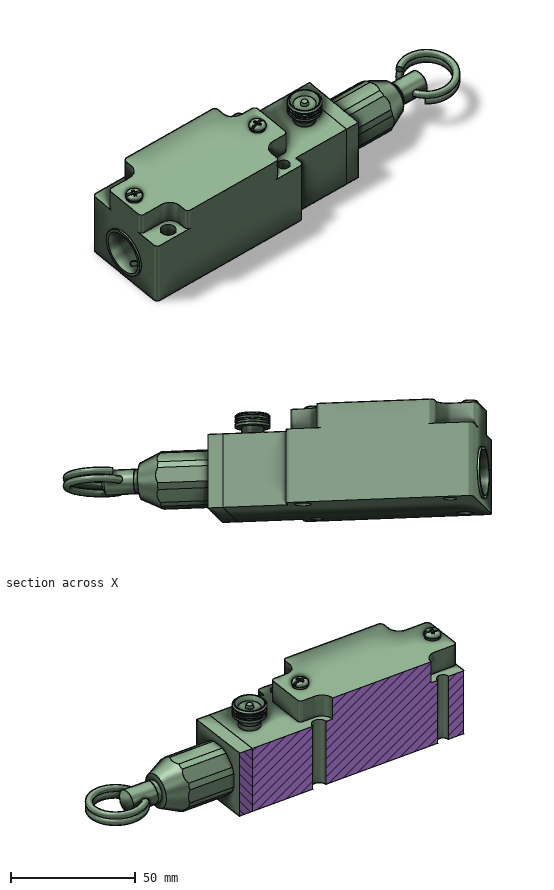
import cadquery as cq
import math

HOUSING_SIDE = 40.0
HOUSING_FRONT_Y = -85.0
HOUSING_BACK_Y = -8.5
CORNER_RADIUS = 1.7

POCKET_FLOOR_Z = 30.0
TONGUE_HALF_WIDTH = 10.1
POCKET_ARC_RADIUS = 5.1
BACK_POCKET_LENGTH = 12.5
FRONT_POCKET_LENGTH = 16.0
MOUNT_HOLE_X = 15.1
BACK_HOLE_Y = -14.8
FRONT_HOLE_Y = -74.8
SMALL_HOLE_DIAMETER = 5.1
LARGE_HOLE_DIAMETER = 6.4

ENTRY_Z = 13.2
ENTRY_COLLAR_DIAMETER = 21.0
ENTRY_COLLAR_HEIGHT = 0.9
ENTRY_BORE_DIAMETER = 18.5
ENTRY_BORE_DEPTH = 9.0
ENTRY_PIN_HOLE_DIAMETER = 3.3
ENTRY_PIN_HOLE_DEPTH = 0.3

SCREW_BACK_Y = -15.8
SCREW_FRONT_Y = -80.0
SCREW_NECK_DIAMETER = 6.5
SCREW_NECK_HEIGHT = 1.0
SCREW_HEAD_DIAMETER = 7.0
SCREW_TOP_DIAMETER = 4.8
SCREW_HEIGHT = 2.5
SCREW_SLOT_WIDTH = 1.0
SCREW_SLOT_DEPTH = 1.4
SCREW_CROSS_LENGTH = 3.5
BACK_SCREW_SLOT_ANGLE = 104
FRONT_SCREW_SLOT_ANGLE = 70

HEAD_WIDTH = 30.5
HEAD_HEIGHT = POCKET_FLOOR_Z
HEAD_BACK_Y = 17.9

KNOB_Y = 8.8
KNOB_DIAMETER = 14.0
KNOB_COLLAR_DIAMETER = 9.3
KNOB_COLLAR_HEIGHT = 2.0
KNOB_NECK_DIAMETER = 9.0
KNOB_BOTTOM = 5.1
KNOB_TOP = 10.3
KNOB_GROOVE_COUNT = 2
KNOB_GROOVE_WIDTH = 1.0
KNOB_GROOVE_DEPTH = 0.7
KNOB_RIM_BEVEL = 0.7
KNOB_DISH_DIAMETER = 12.0
KNOB_DISH_FLOOR_DIAMETER = 9.3
KNOB_DISH_DEPTH = 1.9
KNOB_STUD_DIAMETER = 3.5
KNOB_STUD_TOP_DIAMETER = 2.5
KNOB_STUD_HEIGHT = 1.4

AXIS_Z = HEAD_HEIGHT / 2
CAP_BACK_Y = 24.0
BOOT_FLATS = 8
BOOT_ACROSS_FLATS = 22.3
BOOT_ACROSS_CORNERS = 23.0
BOOT_SHOULDER_Y = 46.2
BOOT_TIP_Y = 54.2
BOOT_TIP_DIAMETER = 14.8
ROD_DIAMETER = 10.0
BEAD_ROOT_DIAMETER = 9.0
BEAD_END_Y = 56.5
ROD_SHOULDER_Y = 68.5
ROD_DOME_HEIGHT = 1.7

RING_CENTER_Y = 73.0
RING_RISE = 0.3
RING_CENTER_Z = AXIS_Z + RING_RISE
RING_OUTER_DIAMETER = 25.7
WIRE_DIAMETER = 3.0
RING_PITCH = 3.1
RING_TURNS = 1.75
ROD_HOLE_DIAMETER = 3.3
ROD_HOLE_TURNS = 0.4


def box(x0, x1, y0, y1, z0, z1):
    """Box between opposite corners."""
    return cq.Workplane("XY").box(x1 - x0, y1 - y0, z1 - z0, centered=False).translate((x0, y0, z0))


def upright_cylinder(diameter, height, x, y, z):
    return cq.Workplane("XY").circle(diameter / 2).extrude(height).translate((x, y, z))


def plan_rectangle(half_width, back_y, front_y):
    """Rectangle on the base plane, symmetric about X = 0."""
    return cq.Workplane("XY").moveTo(0, (back_y + front_y) / 2).rect(2 * half_width, back_y - front_y)


def pocketed_block():
    """Full-height block with the four corner pockets left out."""
    side = HOUSING_SIDE / 2
    back_wall = HOUSING_BACK_Y - BACK_POCKET_LENGTH
    front_wall = HOUSING_FRONT_Y + FRONT_POCKET_LENGTH
    upper = (
        plan_rectangle(side, back_wall, front_wall)
        .extrude(HOUSING_SIDE)
        .union(plan_rectangle(TONGUE_HALF_WIDTH, HOUSING_BACK_Y, HOUSING_FRONT_Y).extrude(HOUSING_SIDE))
    )
    inside = cq.selectors.BoxSelector(
        (-side + CORNER_RADIUS, HOUSING_FRONT_Y + CORNER_RADIUS, 0),
        (side - CORNER_RADIUS, HOUSING_BACK_Y - CORNER_RADIUS, HOUSING_SIDE),
    )
    upper = upper.edges("|Z").edges(inside).fillet(POCKET_ARC_RADIUS)
    tips = upper.edges("|Z").edges("<X or >X or <Y or >Y")
    return tips.fillet(CORNER_RADIUS)


def housing_block():
    """Pocketed block standing on a plain rectangular lower part."""
    lower = plan_rectangle(HOUSING_SIDE / 2, HOUSING_BACK_Y, HOUSING_FRONT_Y).extrude(POCKET_FLOOR_Z)
    return lower.edges("|Z").fillet(CORNER_RADIUS).union(pocketed_block())


def mounting_holes():
    holes = cq.Workplane("XY")
    for x_side, y, diameter in (
        (-1, BACK_HOLE_Y, LARGE_HOLE_DIAMETER),
        (1, BACK_HOLE_Y, SMALL_HOLE_DIAMETER),
        (-1, FRONT_HOLE_Y, SMALL_HOLE_DIAMETER),
        (1, FRONT_HOLE_Y, LARGE_HOLE_DIAMETER),
    ):
        holes = holes.add(upright_cylinder(diameter, HOUSING_SIDE, x_side * MOUNT_HOLE_X, y, 0))
    return holes.combine()


def entry_collar():
    """Low ring standing on the front face."""
    return (
        cq.Workplane("XZ", origin=(0, HOUSING_FRONT_Y, ENTRY_Z))
        .circle(ENTRY_COLLAR_DIAMETER / 2)
        .extrude(ENTRY_COLLAR_HEIGHT)
    )


def entry_bore():
    """Blind cable bore with a small pin hole in its lower wall."""
    bore = (
        cq.Workplane("XZ", origin=(0, HOUSING_FRONT_Y + ENTRY_BORE_DEPTH, ENTRY_Z))
        .circle(ENTRY_BORE_DIAMETER / 2)
        .extrude(ENTRY_BORE_DEPTH + ENTRY_COLLAR_HEIGHT)
    )
    pin_hole_bottom = ENTRY_Z - ENTRY_BORE_DIAMETER / 2 - ENTRY_PIN_HOLE_DEPTH
    pin_hole_height = ENTRY_Z - pin_hole_bottom
    pin_hole = upright_cylinder(ENTRY_PIN_HOLE_DIAMETER, pin_hole_height, 0, SCREW_FRONT_Y, pin_hole_bottom)
    return bore.union(pin_hole)


def cover_screw(y, slot_angle):
    """Domed screw head with a full slot and a shorter cross slot."""
    rim = SCREW_HEAD_DIAMETER / 2
    top = SCREW_TOP_DIAMETER / 2
    dome_middle_radius = top + (rim - top) * math.cos(math.pi / 4)
    dome_middle_z = SCREW_NECK_HEIGHT + (SCREW_HEIGHT - SCREW_NECK_HEIGHT) * math.sin(math.pi / 4)
    head = (
        cq.Workplane("XZ")
        .lineTo(SCREW_NECK_DIAMETER / 2, 0)
        .lineTo(SCREW_NECK_DIAMETER / 2, SCREW_NECK_HEIGHT)
        .lineTo(rim, SCREW_NECK_HEIGHT)
        .threePointArc((dome_middle_radius, dome_middle_z), (top, SCREW_HEIGHT))
        .lineTo(0, SCREW_HEIGHT)
        .close()
        .revolve(360, (0, 0), (0, 1))
    )
    slots = (
        cq.Workplane("XY", origin=(0, 0, SCREW_HEIGHT - SCREW_SLOT_DEPTH))
        .rect(SCREW_HEAD_DIAMETER, SCREW_SLOT_WIDTH)
        .extrude(SCREW_SLOT_DEPTH)
        .rect(SCREW_SLOT_WIDTH, SCREW_CROSS_LENGTH)
        .extrude(SCREW_SLOT_DEPTH)
    )
    slotted_head = head.cut(slots.rotate((0, 0, 0), (0, 0, 1), slot_angle))
    return slotted_head.translate((0, y, HOUSING_SIDE))


def reset_knob():
    """Grooved knob on a neck, with a dished top and a centre stud."""
    rim = KNOB_DIAMETER / 2
    dish_floor = KNOB_TOP - KNOB_DISH_DEPTH
    stud_top = dish_floor + KNOB_STUD_HEIGHT
    knob = (
        cq.Workplane("XZ")
        .lineTo(KNOB_COLLAR_DIAMETER / 2, 0)
        .lineTo(KNOB_COLLAR_DIAMETER / 2, KNOB_COLLAR_HEIGHT)
        .lineTo(KNOB_NECK_DIAMETER / 2, KNOB_COLLAR_HEIGHT)
        .lineTo(KNOB_NECK_DIAMETER / 2, KNOB_BOTTOM)
        .lineTo(rim, KNOB_BOTTOM)
        .lineTo(rim, KNOB_TOP - KNOB_RIM_BEVEL)
        .lineTo(rim - KNOB_RIM_BEVEL, KNOB_TOP)
        .lineTo(KNOB_DISH_DIAMETER / 2, KNOB_TOP)
        .lineTo(KNOB_DISH_FLOOR_DIAMETER / 2, dish_floor)
        .lineTo(KNOB_STUD_DIAMETER / 2, dish_floor)
        .lineTo(KNOB_STUD_TOP_DIAMETER / 2, stud_top)
        .lineTo(0, stud_top)
        .close()
        .revolve(360, (0, 0), (0, 1))
    )
    groove_spacing = (KNOB_TOP - KNOB_BOTTOM) / (KNOB_GROOVE_COUNT + 1)
    groove = (
        cq.Workplane("XY")
        .circle(rim)
        .circle(rim - KNOB_GROOVE_DEPTH)
        .extrude(KNOB_GROOVE_WIDTH)
        .translate((0, 0, -KNOB_GROOVE_WIDTH / 2))
    )
    for index in range(1, KNOB_GROOVE_COUNT + 1):
        knob = knob.cut(groove.translate((0, 0, KNOB_BOTTOM + index * groove_spacing)))
    return knob.translate((0, KNOB_Y, HEAD_HEIGHT))


def make_housing():
    head = box(-HEAD_WIDTH / 2, HEAD_WIDTH / 2, HOUSING_BACK_Y, HEAD_BACK_Y, 0, HEAD_HEIGHT)
    return (
        housing_block()
        .union(entry_collar())
        .cut(entry_bore())
        .cut(mounting_holes())
        .union(head)
        .union(cover_screw(SCREW_BACK_Y, BACK_SCREW_SLOT_ANGLE))
        .union(cover_screw(SCREW_FRONT_Y, FRONT_SCREW_SLOT_ANGLE))
        .union(reset_knob())
    )


def boot_prism(across_flats):
    """Octagonal prism along the boot axis."""
    return (
        cq.Workplane("XZ", origin=(0, BOOT_TIP_Y, 0))
        .polygon(BOOT_FLATS, across_flats, circumscribed=True)
        .extrude(BOOT_TIP_Y - CAP_BACK_Y)
    )


def pull_boot():
    """Octagonal grip with bevelled corners that tapers to its tip."""
    tip = BOOT_TIP_DIAMETER / 2
    taper_slope = (BOOT_ACROSS_FLATS / 2 - tip) / (BOOT_TIP_Y - BOOT_SHOULDER_Y)
    base = tip + (BOOT_TIP_Y - CAP_BACK_Y) * taper_slope
    cone = (
        cq.Workplane("XY")
        .moveTo(0, CAP_BACK_Y)
        .lineTo(base, CAP_BACK_Y)
        .lineTo(tip, BOOT_TIP_Y)
        .lineTo(0, BOOT_TIP_Y)
        .close()
        .revolve(360, (0, 0), (0, 1))
    )
    corner_bevels = boot_prism(BOOT_ACROSS_CORNERS).rotate((0, 0, 0), (0, 1, 0), 180 / BOOT_FLATS)
    grip = boot_prism(BOOT_ACROSS_FLATS).intersect(corner_bevels).intersect(cone)
    return grip.translate((0, 0, AXIS_Z))


def pull_rod():
    """Rod with a rounded bead at the boot and a domed end."""
    bead_root = BEAD_ROOT_DIAMETER / 2
    rod = ROD_DIAMETER / 2
    dome_radius = (rod**2 + ROD_DOME_HEIGHT**2) / (2 * ROD_DOME_HEIGHT)
    dome_tip_y = ROD_SHOULDER_Y + ROD_DOME_HEIGHT
    dome_middle_x = rod / 2
    dome_middle_y = dome_tip_y - dome_radius + math.sqrt(dome_radius**2 - dome_middle_x**2)
    return (
        cq.Workplane("XY")
        .moveTo(0, BOOT_TIP_Y)
        .lineTo(bead_root, BOOT_TIP_Y)
        .threePointArc((rod, (BOOT_TIP_Y + BEAD_END_Y) / 2), (bead_root, BEAD_END_Y))
        .lineTo(rod, BEAD_END_Y)
        .lineTo(rod, ROD_SHOULDER_Y)
        .threePointArc((dome_middle_x, dome_middle_y), (0, dome_tip_y))
        .close()
        .revolve(360, (0, 0), (0, 1))
        .translate((0, 0, AXIS_Z))
    )


def ring_coil(diameter, turns):
    """Round wire wound about a vertical axis, its middle lying inside the rod."""
    radius = (RING_OUTER_DIAMETER - WIRE_DIAMETER) / 2
    height = RING_PITCH * turns
    path = cq.Workplane(obj=cq.Wire.makeHelix(RING_PITCH, height, radius))
    coil = cq.Workplane("XZ", origin=(radius, 0, 0)).circle(diameter / 2).sweep(path, isFrenet=True)
    start_angle = -90 - turns * 180
    return (
        coil.rotate((0, 0, 0), (0, 0, 1), start_angle)
        .translate((0, RING_CENTER_Y, RING_CENTER_Z - height / 2))
    )


def make_actuator():
    cap = box(-HEAD_WIDTH / 2, HEAD_WIDTH / 2, HEAD_BACK_Y, CAP_BACK_Y, 0, HEAD_HEIGHT)
    rod_hole = ring_coil(ROD_HOLE_DIAMETER, ROD_HOLE_TURNS)
    return cap.union(pull_boot()).union(pull_rod()).cut(rod_hole)


def make_ring():
    return ring_coil(WIRE_DIAMETER, RING_TURNS)


housing = make_housing()
actuator = make_actuator()
ring = make_ring()

result = cq.Compound.makeCompound([body.solids().val() for body in (housing, actuator, ring)])